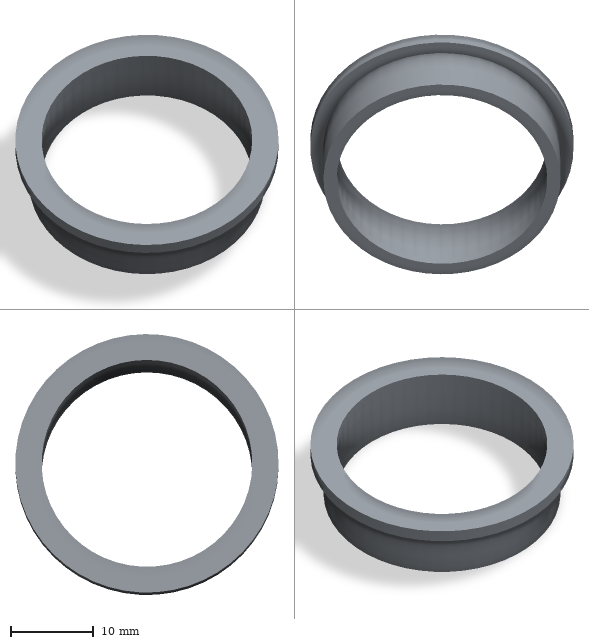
import cadquery as cq

flange_diameter = 31.75
flange_thickness = 1.6
total_height = 7.95
sleeve_diameter = 28.58
bore_diameter = 25.4

sleeve_height = total_height - flange_thickness

sleeve = cq.Workplane("XY").circle(sleeve_diameter / 2).extrude(sleeve_height)
flange = (
    cq.Workplane("XY")
    .workplane(offset=sleeve_height)
    .circle(flange_diameter / 2)
    .extrude(flange_thickness)
)

bore = cq.Workplane("XY").circle(bore_diameter / 2).extrude(total_height)

result = sleeve.union(flange).cut(bore)